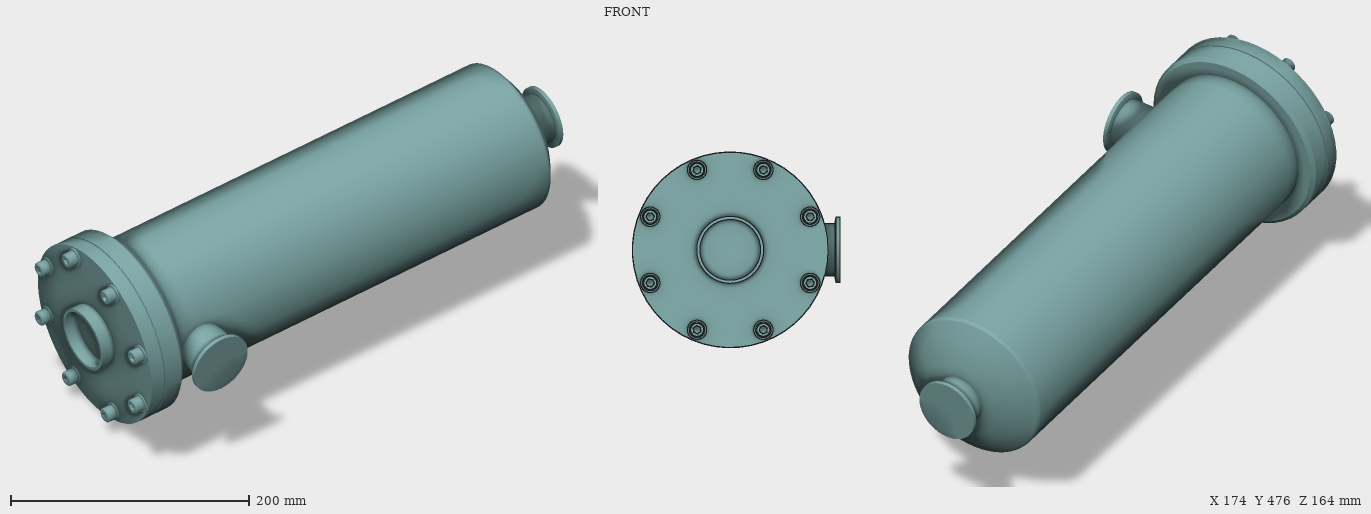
import cadquery as cq
import math


length = 476.0
width = 174.0

boss_diameter = 56.0
boss_bore = 51.0
boss_height = 12.5

flange_diameter = 164.0
cover_thickness = 13.0
joint_gap = 1.5
joint_depth = 1.0
flange_thickness = 20.0
flange_chamfer = 3.5

shell_diameter = 133.0
shell_end = 435.0
dome_radius = 104.5
dome_base_radius = shell_diameter / 2
knuckle_radius = 4.0

pipe_diameter = 44.5
ferrule_diameter = 55.0
ferrule_rim = 3.5
ferrule_taper = 1.0
ferrule_root_diameter = 45.5
side_nozzle_y = 76.5

screw_count = 8
screw_circle_diameter = 145.0
washer_diameter = 16.0
washer_thickness = 1.5
head_diameter = 13.0
head_height = 8.5
head_edge_chamfer = 1.0
socket_across_flats = 6.0
socket_depth = 4.0
socket_point_depth = 2.0

cover_face = boss_height
cover_back = cover_face + cover_thickness
flange_front = cover_back + joint_gap

flange_radius = flange_diameter / 2
dome_half_angle = math.asin(dome_base_radius / dome_radius)
dome_centre_y = shell_end - math.sqrt(dome_radius**2 - dome_base_radius**2)


def disc(y, diameter, thickness):
    """Cylinder along +Y whose front face lies at y."""
    front = cq.Workplane("XZ", origin=(0, y, 0))
    return front.circle(diameter / 2).extrude(-thickness)


def cover():
    """Round cover plate with the boss ring on its outer face."""
    ring = disc(0, boss_diameter, boss_height).cut(disc(0, boss_bore, boss_height))
    return disc(cover_face, flange_diameter, cover_thickness).union(ring)


def shell_flange():
    """Shell flange with a chamfered rear edge, and the recessed joint in front of it."""
    joint = disc(cover_back, flange_diameter - 2 * joint_depth, joint_gap)
    flange = disc(flange_front, flange_diameter, flange_thickness)
    return joint.union(flange.faces(">Y").chamfer(flange_chamfer))


def dome_point(angle):
    """Point of the dome outline at the given angle from the Y axis."""
    return dome_radius * math.sin(angle), dome_centre_y + dome_radius * math.cos(angle)


def shell():
    """Cylinder closed by a spherical dome, with a rounded knuckle between them."""
    profile = (
        cq.Workplane("XY")
        .moveTo(0, cover_back)
        .lineTo(dome_base_radius, cover_back)
        .lineTo(dome_base_radius, shell_end)
        .threePointArc(dome_point(dome_half_angle / 2), dome_point(0))
        .close()
    )
    body = profile.revolve(360, (0, 0), (0, 1))
    return body.faces("%SPHERE").edges("<Y").fillet(knuckle_radius)


def nozzle(reach):
    """Pipe along +Y from the origin, ending in a clamp ferrule at the given reach."""
    rim_start = reach - ferrule_rim
    return (
        cq.Workplane("XY")
        .lineTo(pipe_diameter / 2, 0)
        .lineTo(pipe_diameter / 2, rim_start - ferrule_taper)
        .lineTo(ferrule_root_diameter / 2, rim_start - ferrule_taper)
        .lineTo(ferrule_diameter / 2, rim_start)
        .lineTo(ferrule_diameter / 2, reach)
        .lineTo(0, reach)
        .close()
        .revolve(360, (0, 0), (0, 1))
    )


def rear_nozzle():
    """Rear pipe, starting at the centre of the dome sphere inside the shell."""
    return nozzle(length - dome_centre_y).translate((0, dome_centre_y, 0))


def side_nozzle():
    """Side pipe, starting at the shell axis and pointing along +X."""
    along_x = nozzle(width - flange_radius).rotate((0, 0, 0), (0, 0, 1), -90)
    return along_x.translate((0, side_nozzle_y, 0))


def screw(angle):
    """Screw head on its washer, with a hex socket that ends in a drill point."""
    washer_face = cover_face - washer_thickness
    head_face = washer_face - head_height
    head = disc(head_face, head_diameter, head_height).faces("<Y").chamfer(head_edge_chamfer)
    socket = (
        cq.Workplane("XZ", origin=(0, head_face, 0))
        .polygon(6, socket_across_flats, circumscribed=True)
        .extrude(-socket_depth)
    )
    socket_floor = head_face + socket_depth
    socket_point = cq.Solid.makeCone(
        socket_across_flats / 2,
        0,
        socket_point_depth,
        pnt=cq.Vector(0, socket_floor, 0),
        dir=cq.Vector(0, 1, 0),
    )
    washer = disc(washer_face, washer_diameter, washer_thickness)
    centred = head.cut(socket).cut(socket_point).union(washer)
    return centred.translate((screw_circle_diameter / 2, 0, 0)).rotate((0, 0, 0), (0, 1, 0), angle)


result = cover()
for component in (shell_flange(), shell(), rear_nozzle(), side_nozzle()):
    result = result.union(component)

screw_pitch = 360 / screw_count
for index in range(screw_count):
    result = result.union(screw((index + 0.5) * screw_pitch))